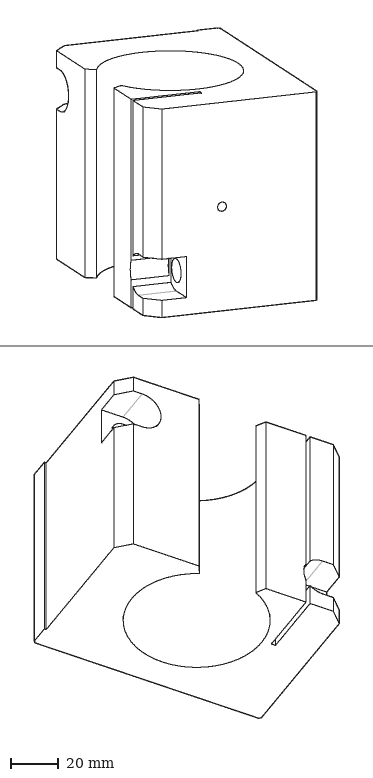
import cadquery as cq
import math

width = 108.0
depth = 77.0
height = 91.0
right_x = width / 2
left_x = -width / 2

ledge_step = 0.9
ledge_length = 10.0
back_chamfer = 0.9
front_chamfer = 6.0

bore_radius = 30.9
bore_center_y = 32.2
mouth_half_width = 13.4
mouth_flare_angle = 30.0

slot_width = 1.9
slot_center_x = 36.0
slot_depth = 31.2

mount_x = 42.9
mount_z = height / 2 - 16.5
mount_diameter = 10.3
counterbore_radius = 9.0
counterbore_depth = 17.3

cross_hole_diameter = 4.0
cross_hole_clearance = 0.2


def make_block():
    """Extruded outline with chamfered corners and a shallow ledge at the back left."""
    wall_x = left_x + ledge_step
    outline = [
        (wall_x + front_chamfer, 0),
        (right_x - front_chamfer, 0),
        (right_x, front_chamfer),
        (right_x, depth - back_chamfer),
        (right_x - back_chamfer, depth),
        (left_x + back_chamfer, depth),
        (left_x, depth - back_chamfer),
        (left_x, depth - ledge_length),
        (wall_x, depth - ledge_length),
        (wall_x, front_chamfer),
    ]
    return cq.Workplane("XY").polyline(outline).close().extrude(height / 2, both=True)


def make_bore():
    """Cylinder plus the mouth, which flares outward from the bore to the front face."""
    bore = (
        cq.Workplane("XY")
        .center(0, bore_center_y)
        .circle(bore_radius)
        .extrude(height / 2, both=True)
    )
    lip_y = bore_center_y - math.sqrt(bore_radius**2 - mouth_half_width**2)
    flare = lip_y * math.tan(math.radians(mouth_flare_angle))
    front_half_width = mouth_half_width + flare
    mouth = (
        cq.Workplane("XY")
        .moveTo(-front_half_width, 0)
        .lineTo(front_half_width, 0)
        .lineTo(mouth_half_width, lip_y)
        .lineTo(-mouth_half_width, lip_y)
        .close()
        .extrude(height / 2, both=True)
    )
    return bore.union(mouth)


def make_slot():
    """Narrow full-height slot cut in from the front face."""
    slot = cq.Workplane("XY").box(slot_width, slot_depth, height)
    return slot.translate((slot_center_x, slot_depth / 2, 0))


def make_mount(side):
    """Through hole and counterbore open to the outer side; side is -1 (left) or 1 (right)."""
    center = (side * mount_x, 0, -side * mount_z)
    plane = cq.Workplane("XZ", origin=center)
    hole = plane.circle(mount_diameter / 2).extrude(-depth)
    round_end = plane.circle(counterbore_radius).extrude(-counterbore_depth)
    opening_length = width / 2 - mount_x
    opening = (
        plane.center(side * opening_length / 2, 0)
        .rect(opening_length, 2 * counterbore_radius)
        .extrude(-counterbore_depth)
    )
    return hole.union(round_end).union(opening)


def make_cross_hole():
    """Horizontal hole at mid height, passing just behind the slot and out the right side."""
    hole_y = slot_depth + cross_hole_clearance + cross_hole_diameter / 2
    return (
        cq.Workplane("YZ", origin=(0, hole_y, 0))
        .circle(cross_hole_diameter / 2)
        .extrude(right_x)
    )


result = make_block().cut(make_bore()).cut(make_slot()).cut(make_cross_hole())
for mount_side in (-1, 1):
    result = result.cut(make_mount(mount_side))